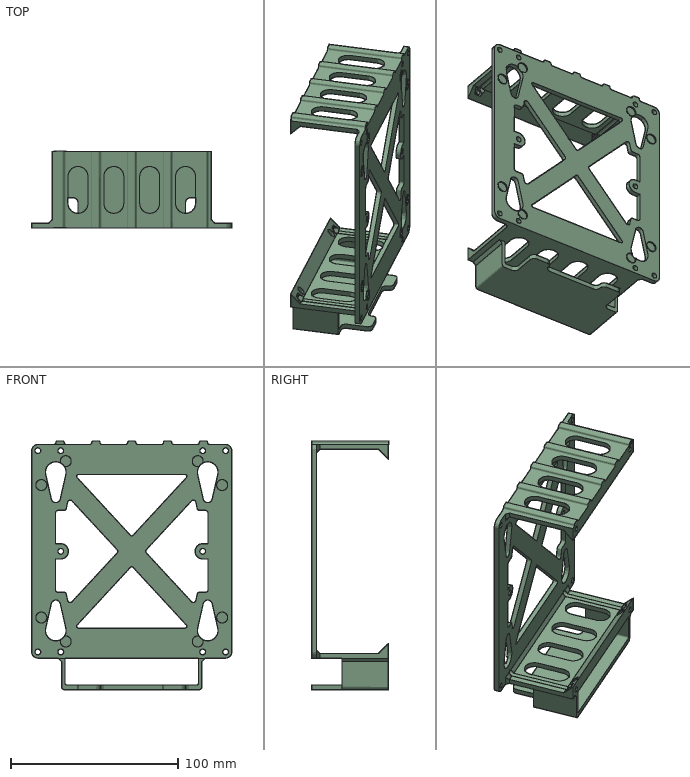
import cadquery as cq
import math

TOTAL_HEIGHT = 149.0
DEPTH = 45.9
RIB_HEIGHT = 2.1
PLATE_WIDTH = 120.0
PLATE_HEIGHT = 128.0
PLATE_THICKNESS = 3.0
PLATE_CORNER_RADIUS = 4.0
PLATE_TOP = TOTAL_HEIGHT - RIB_HEIGHT
PLATE_BOTTOM = PLATE_TOP - PLATE_HEIGHT
PLATE_MID = (PLATE_TOP + PLATE_BOTTOM) / 2

SCREW_RADIUS = 1.6
SCREW_HEIGHT = 60.2
SCREW_X = 42.5
CORNER_SCREW_X = 56.2
KEYHOLE_X = 45.5
KEYHOLE_HEAD_RADIUS = 6.1
KEYHOLE_HEAD_HEIGHT = 47.4
KEYHOLE_TIP_RADIUS = 2.7
KEYHOLE_TIP_HEIGHT = 31.9
RECESS_RADIUS = 3.3
RECESS_DEPTH = 0.7
RECESS_SPOTS = [(39.5, 54.0), (54.1, 39.6)]
END_WINDOW_HALF_WIDTH = 34.3
END_WINDOW_BASE = 45.9
END_WINDOW_APEX = 8.8
END_WINDOW_RADIUS = 1.0
SIDE_WINDOW_X = 45.6
SIDE_WINDOW_HALF_HEIGHT = 24.5
SIDE_WINDOW_STEP_X = 39.3
SIDE_WINDOW_PEAK = (37.7, 32.2)
SIDE_WINDOW_APEX = 7.9
SIDE_WINDOW_RADIUS = 1.5
LUG_RADIUS = 4.6

FLANGE_HALF_WIDTH = 47.7
FLANGE_THICKNESS = 3.0
FLANGE_CHAMFER = 2.0
FLANGE_INNER = PLATE_HEIGHT / 2 - FLANGE_THICKNESS
HOOK_SIZE = 6.0
RIB_SPACING = 21.5
RIB_COUNT = 5
RIB_TOP_HALF_WIDTH = 1.5
END_RIB_SHIFT = 0.3
SLOT_WIDTH = 11.9
SLOT_START = 8.8
SLOT_END = 36.8
NUT_CORNER_DIAMETER = 6.3
NUT_FLOOR = 43.2
HOOK_HOLE_RADIUS = 2.0
HOOK_HOLE_X = 36.0
HOOK_HOLE_Y = 42.5

BRACKET_HALF_WIDTH = 42.0
BRACKET_WALL = 2.1
BRACKET_FLOOR = 3.0
BRACKET_FRONT = 18.0
BRACKET_FILLET = 2.0
BRACKET_ROOT_CHAMFER = 2.0
BRACKET_INNER_FILLET = 1.0
TONGUE_HALF_WIDTH = 32.2
TONGUE_GAP_HALF_WIDTH = 18.8
TONGUE_GAP_DEPTH = 6.0
TONGUE_RADIUS = 3.0
TONGUE_FILLET = 0.98 * TONGUE_RADIUS

MIRROR_SIGNS = [(sx, sz) for sx in (1, -1) for sz in (1, -1)]


def plate_sketch():
    """XZ workplane at the plate centre; extruding by a negative length goes toward +Y."""
    return cq.Workplane("XZ", origin=(0, 0, PLATE_MID))


def mirrored_down(shape):
    return shape.mirror("XY", (0, 0, PLATE_MID))


def rib():
    """Rib along Y with a rounded crest and rounded feet."""
    radius = RIB_HEIGHT / 2
    crest = RIB_TOP_HALF_WIDTH
    side = crest + radius
    foot = side + radius
    bend = radius * (1 - math.sqrt(0.5))
    return (
        plate_sketch()
        .moveTo(-foot, 0)
        .threePointArc((-side - bend, bend), (-side, radius))
        .threePointArc((-side + bend, RIB_HEIGHT - bend), (-crest, RIB_HEIGHT))
        .lineTo(crest, RIB_HEIGHT)
        .threePointArc((side - bend, RIB_HEIGHT - bend), (side, radius))
        .threePointArc((side + bend, bend), (foot, 0))
        .close()
        .extrude(-DEPTH)
    )


def ribs():
    """Row of ribs on the top flange; the -X end rib sits slightly further back."""
    row = cq.Workplane("XY")
    for i in range(RIB_COUNT):
        x = (i - (RIB_COUNT - 1) / 2) * RIB_SPACING
        y = END_RIB_SHIFT if i == 0 else 0
        row = row.add(rib().translate((x, y, PLATE_HEIGHT / 2)))
    return row.combine()


def flange():
    """Upper flange slab."""
    slab = cq.Workplane("XY").box(
        2 * FLANGE_HALF_WIDTH, DEPTH, FLANGE_THICKNESS, centered=(True, False, False)
    )
    return slab.translate((0, 0, PLATE_MID + FLANGE_INNER))


def hook():
    """Triangular lip along the free edge of the upper flange."""
    inner = PLATE_MID + FLANGE_INNER
    return (
        cq.Workplane("YZ")
        .polyline([(DEPTH - HOOK_SIZE, inner), (DEPTH, inner - HOOK_SIZE), (DEPTH, inner)])
        .close()
        .extrude(FLANGE_HALF_WIDTH, both=True)
    )


def framed_plate():
    """Plate with both flanges, chamfered where they meet, and hooks."""
    frame = plate_sketch().rect(PLATE_WIDTH, PLATE_HEIGHT).extrude(-PLATE_THICKNESS)
    frame = frame.edges("|Y").fillet(PLATE_CORNER_RADIUS)
    frame = frame.union(flange()).union(mirrored_down(flange()))
    margin = 0.1
    root = cq.selectors.BoxSelector(
        (-FLANGE_HALF_WIDTH - margin, PLATE_THICKNESS - margin, PLATE_BOTTOM - margin),
        (FLANGE_HALF_WIDTH + margin, PLATE_THICKNESS + margin, PLATE_TOP + margin),
    )
    frame = frame.edges(root).chamfer(FLANGE_CHAMFER)
    return frame.union(hook()).union(mirrored_down(hook()))


def keyhole():
    """Pear-shaped opening: two circles joined by their common tangents."""
    reach = KEYHOLE_HEAD_HEIGHT - KEYHOLE_TIP_HEIGHT
    tilt = math.asin((KEYHOLE_HEAD_RADIUS - KEYHOLE_TIP_RADIUS) / reach)
    head_x = KEYHOLE_HEAD_RADIUS * math.cos(tilt)
    head_z = KEYHOLE_HEAD_HEIGHT - KEYHOLE_HEAD_RADIUS * math.sin(tilt)
    tip_x = KEYHOLE_TIP_RADIUS * math.cos(tilt)
    tip_z = KEYHOLE_TIP_HEIGHT - KEYHOLE_TIP_RADIUS * math.sin(tilt)
    return (
        plate_sketch()
        .moveTo(-head_x, head_z)
        .threePointArc((0, KEYHOLE_HEAD_HEIGHT + KEYHOLE_HEAD_RADIUS), (head_x, head_z))
        .lineTo(tip_x, tip_z)
        .threePointArc((0, KEYHOLE_TIP_HEIGHT - KEYHOLE_TIP_RADIUS), (-tip_x, tip_z))
        .close()
        .extrude(-PLATE_THICKNESS)
        .translate((KEYHOLE_X, 0, 0))
    )


def end_window():
    """Triangular opening in the upper half of the plate."""
    return (
        plate_sketch()
        .polyline([
            (-END_WINDOW_HALF_WIDTH, END_WINDOW_BASE),
            (END_WINDOW_HALF_WIDTH, END_WINDOW_BASE),
            (0, END_WINDOW_APEX),
        ])
        .close()
        .extrude(-PLATE_THICKNESS)
        .edges("|Y")
        .fillet(END_WINDOW_RADIUS)
    )


def side_window():
    """Opening on the +X side, less the screw lug that reaches into it."""
    upper = [
        (SIDE_WINDOW_X, SIDE_WINDOW_HALF_HEIGHT),
        (SIDE_WINDOW_STEP_X, SIDE_WINDOW_HALF_HEIGHT),
        SIDE_WINDOW_PEAK,
    ]
    lower = [(x, -z) for x, z in reversed(upper)]
    outline = upper + [(SIDE_WINDOW_APEX, 0)] + lower
    window = plate_sketch().polyline(outline).close().extrude(-PLATE_THICKNESS)
    window = window.edges("|Y").fillet(SIDE_WINDOW_RADIUS)
    lug = plate_sketch().center(SCREW_X, 0).circle(LUG_RADIUS).extrude(-PLATE_THICKNESS)
    lug_root = (
        plate_sketch()
        .center((SCREW_X + SIDE_WINDOW_X) / 2, 0)
        .rect(SIDE_WINDOW_X - SCREW_X, 2 * LUG_RADIUS)
        .extrude(-PLATE_THICKNESS)
    )
    return window.cut(lug).cut(lug_root)


def cut_plate(body):
    """Windows, keyholes, screw holes and shallow round recesses of the plate."""
    body = body.cut(end_window()).cut(mirrored_down(end_window()))
    body = body.cut(side_window()).cut(side_window().mirror("YZ"))
    for pear in (keyhole(), mirrored_down(keyhole())):
        body = body.cut(pear).cut(pear.mirror("YZ"))
    screws = [(sx * x, sz * SCREW_HEIGHT) for x in (SCREW_X, CORNER_SCREW_X) for sx, sz in MIRROR_SIGNS]
    screws += [(SCREW_X, 0), (-SCREW_X, 0)]
    body = body.cut(plate_sketch().pushPoints(screws).circle(SCREW_RADIUS).extrude(-PLATE_THICKNESS))
    recesses = [(sx * x, sz * z) for x, z in RECESS_SPOTS for sx, sz in MIRROR_SIGNS]
    return body.cut(plate_sketch().pushPoints(recesses).circle(RECESS_RADIUS).extrude(-RECESS_DEPTH))


def cut_flanges(body):
    """Slots between the ribs, screw channels with nut pockets, and holes in the lower hook."""
    slot_x = [(i + 0.5 - (RIB_COUNT - 1) / 2) * RIB_SPACING for i in range(RIB_COUNT - 1)]
    slots = (
        cq.Workplane("XY", origin=(0, (SLOT_START + SLOT_END) / 2, PLATE_BOTTOM))
        .pushPoints([(x, 0) for x in slot_x])
        .slot2D(SLOT_END - SLOT_START, SLOT_WIDTH, 90)
        .extrude(PLATE_HEIGHT)
    )
    spots = [(sx * SCREW_X, sz * SCREW_HEIGHT) for sx, sz in MIRROR_SIGNS]
    channels = (
        plate_sketch()
        .workplane(offset=-PLATE_THICKNESS)
        .pushPoints(spots)
        .circle(SCREW_RADIUS)
        .extrude(PLATE_THICKNESS - DEPTH)
    )
    nuts = (
        plate_sketch()
        .workplane(offset=HOOK_SIZE - DEPTH)
        .pushPoints(spots)
        .polygon(6, NUT_CORNER_DIAMETER)
        .extrude(DEPTH - HOOK_SIZE - NUT_FLOOR)
    )
    hook_holes = (
        cq.Workplane("XY", origin=(0, HOOK_HOLE_Y, PLATE_BOTTOM))
        .pushPoints([(HOOK_HOLE_X, 0), (-HOOK_HOLE_X, 0)])
        .circle(HOOK_HOLE_RADIUS)
        .extrude(FLANGE_THICKNESS + HOOK_SIZE)
    )
    return body.cut(slots).cut(channels).cut(nuts).cut(hook_holes)


def tongue():
    """Two-pronged tongue in front of the bracket floor."""
    r = TONGUE_RADIUS
    outer = TONGUE_HALF_WIDTH
    gap = TONGUE_GAP_HALF_WIDTH
    right_half = [
        (gap, TONGUE_GAP_DEPTH),
        (gap, 0),
        (outer, 0),
        (outer, BRACKET_FRONT),
        (outer + r, BRACKET_FRONT),
        (outer + r, BRACKET_FRONT + r),
    ]
    left_half = [(-x, y) for x, y in reversed(right_half)]
    body = cq.Workplane("XY").polyline(right_half + left_half).close().extrude(BRACKET_FLOOR)
    rounded = cq.selectors.BoxSelector(
        (-outer - r / 2, -r, -r), (outer + r / 2, BRACKET_FRONT + r / 2, BRACKET_FLOOR + r)
    )
    return body.edges("|Z").edges(rounded).fillet(TONGUE_FILLET)


def bracket():
    """Two walls and a floor at the back, with the tongue reaching forward."""
    length = DEPTH - BRACKET_FRONT
    inner_half = BRACKET_HALF_WIDTH - BRACKET_WALL
    outside = cq.Workplane("XY").box(
        2 * BRACKET_HALF_WIDTH, length, PLATE_BOTTOM, centered=(True, False, False)
    )
    outside = outside.edges("|Y and <Z").fillet(BRACKET_FILLET)
    inside = (
        cq.Workplane("XY")
        .box(2 * inner_half, length, PLATE_BOTTOM - BRACKET_FLOOR, centered=(True, False, False))
        .edges("|Y and <Z")
        .fillet(BRACKET_INNER_FILLET)
        .translate((0, 0, BRACKET_FLOOR))
    )
    shell = outside.cut(inside).translate((0, BRACKET_FRONT, 0))
    root = (
        cq.Workplane("XZ", origin=(BRACKET_HALF_WIDTH, BRACKET_FRONT, PLATE_BOTTOM))
        .lineTo(0, -BRACKET_ROOT_CHAMFER)
        .lineTo(BRACKET_ROOT_CHAMFER, 0)
        .close()
        .extrude(-length)
    )
    return shell.union(root).union(root.mirror("YZ")).union(tongue())


result = cut_flanges(cut_plate(framed_plate())).union(ribs()).union(bracket())